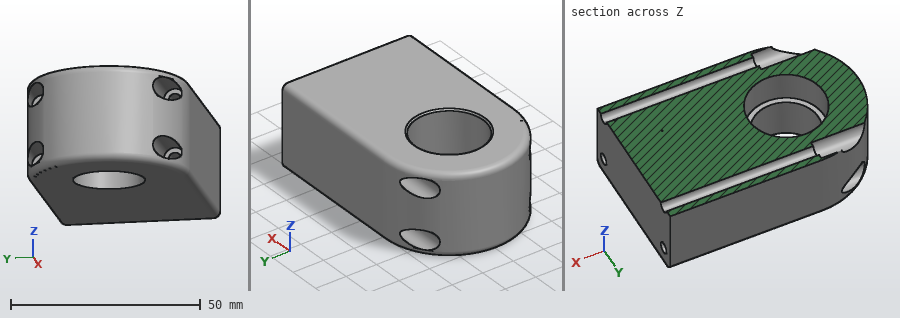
import cadquery as cq

length = 66.5
width = 43.0
thickness = 26.0
edge_fillet = 2.0
end_radius = width / 2
straight_length = length - end_radius

bore_diameter = 19.0
seat_diameter = 22.2
seat_depth = 13.95
seat_chamfer = 0.5

screw_spacing_y = 35.3
screw_spacing_z = 16.0
screw_diameter = 3.3
head_diameter = 6.0
head_floor_from_end = end_radius


def make_body():
    """Rounded block with its long top and bottom edges filleted."""
    body = (
        cq.Workplane("XY", origin=(0, 0, -thickness / 2))
        .moveTo(straight_length, -end_radius)
        .lineTo(0, -end_radius)
        .threePointArc((-end_radius, 0), (0, end_radius))
        .lineTo(straight_length, end_radius)
        .close()
        .extrude(thickness)
    )
    return body.faces("|Z").edges("not >X").fillet(edge_fillet)


def make_bore_cutter():
    """Through bore, wider bearing seat from the top, and the seat's rim chamfer."""
    bore = cq.Workplane("XY").circle(bore_diameter / 2).extrude(thickness, both=True)
    top = cq.Workplane("XY", origin=(0, 0, thickness / 2))
    seat = top.circle(seat_diameter / 2).extrude(-seat_depth)
    rim = (
        top.circle(seat_diameter / 2 + seat_chamfer)
        .workplane(offset=-seat_chamfer)
        .circle(seat_diameter / 2)
        .loft(ruled=True)
    )
    return bore.union(seat).union(rim)


def make_screw_cutter():
    """Screw holes through the full length, with head recesses from the rounded end."""
    rounded_end = cq.Workplane("YZ", origin=(-end_radius, 0, 0))
    holes = rounded_end.rarray(screw_spacing_y, screw_spacing_z, 2, 2)
    shanks = holes.circle(screw_diameter / 2).extrude(length)
    heads = holes.circle(head_diameter / 2).extrude(head_floor_from_end)
    return shanks.union(heads)


result = make_body().cut(make_bore_cutter()).cut(make_screw_cutter())